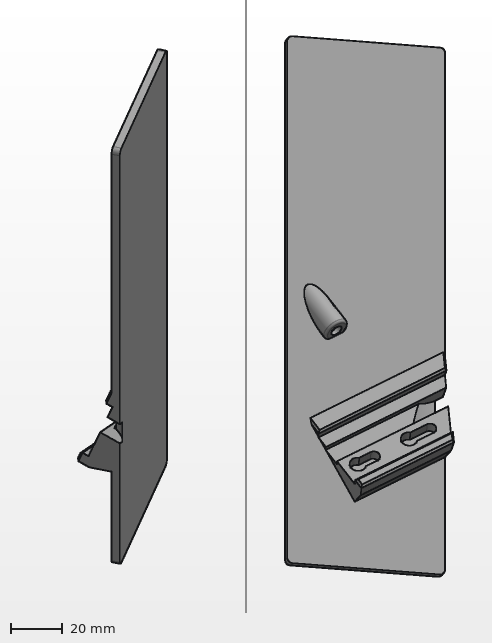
import cadquery as cq
import math

PLATE_THICKNESS = 3.4
PLATE_WIDTH = 63.0
PLATE_HEIGHT = 212.0
CORNER_RADIUS = 2.1

RAIL_ANGLE = 30.0
RAIL_CORNER_Y = 54.5
RAIL_CORNER_Z = 58.5
RAIL_LENGTH = 84.8
FACE_TILT = 22.0
RAIL_DEPTH = 37.5
LIP_HEIGHT = 5.5
EMBED_DEPTH = 1.7
TIP_CHAMFER = 0.8

RECESS_START = 7.5
RECESS_END = 33.0
RECESS_DEPTH = 3.4
GROOVE_START = 12.7
GROOVE_END = 20.5
GROOVE_DEPTH = 5.3

OUTLET_START_Y = 13.1
OUTLET_END_Y = 3.2
OUTLET_TOP_X = -2.1
OUTLET_BULGE = 0.6
CUT_REACH = 21.2

KEYHOLES = [(6.1, 7.5), (29.7, 9.8)]
KEYHOLE_LINE = 25.9
KEYHOLE_HEAD_DIAMETER = 6.4
KEYHOLE_SLOT_DIAMETER = 4.7
KEYHOLE_DEPTH = 4.9

PEG_END = (-3.0, 44.0, 94.0)
PEG_DIAMETER = 10.5
PEG_LENGTH = 34.0
PEG_ROUNDING = 1.0
PEG_HOLE_DIAMETER = 4.7
PEG_HOLE_DEPTH = 6.4

tilt = math.radians(FACE_TILT)
slope = math.radians(RAIL_ANGLE)
run = cq.Vector(0, -math.cos(slope), math.sin(slope))
across = cq.Vector(0, -math.sin(slope), -math.cos(slope))
down_face = across * math.cos(tilt) + cq.Vector(-math.sin(tilt), 0, 0)
corner = cq.Vector(0, RAIL_CORNER_Y, RAIL_CORNER_Z)

section = cq.Plane(origin=corner, xDir=down_face, normal=run * -1)
face_normal = section.yDir


def section_at_height(along_plate, height):
    """Convert a point measured along and above the plate to section coordinates."""
    return (
        along_plate * math.cos(tilt) + height * math.sin(tilt),
        height * math.cos(tilt) - along_plate * math.sin(tilt),
    )


def channel(start, end, depth):
    """Full-length channel sunk square to the tilted face."""
    return (
        cq.Workplane(section)
        .polyline([(start, CUT_REACH), (end, CUT_REACH), (end, -depth), (start, -depth)])
        .close()
        .extrude(-RAIL_LENGTH)
    )


def make_plate():
    return (
        cq.Workplane("XY")
        .box(PLATE_THICKNESS, PLATE_WIDTH, PLATE_HEIGHT, centered=False)
        .edges("|X")
        .fillet(CORNER_RADIUS)
    )


def make_rail():
    foot = RAIL_DEPTH * math.cos(tilt) + LIP_HEIGHT * math.sin(tilt)
    body = (
        cq.Workplane(section)
        .polyline([
            (-EMBED_DEPTH / math.sin(tilt), 0),
            (RAIL_DEPTH, 0),
            (RAIL_DEPTH, -LIP_HEIGHT),
            section_at_height(foot, -EMBED_DEPTH),
        ])
        .close()
        .extrude(-RAIL_LENGTH)
    )
    beyond_edge = (
        cq.Workplane("XY")
        .box(4 * RAIL_LENGTH, RAIL_LENGTH, 4 * PLATE_HEIGHT)
        .translate((0, -RAIL_LENGTH / 2, 0))
    )
    body = body.cut(beyond_edge)
    body = body.cut(channel(RECESS_START, RECESS_END, RECESS_DEPTH))
    for distance in (RECESS_START / 2, (RECESS_END + RAIL_DEPTH) / 2):
        tip_face = cq.selectors.NearestToPointSelector(tip_face_middle(distance).toTuple())
        body = body.faces(tip_face).edges().chamfer(TIP_CHAMFER)
    return body


def tip_face_middle(distance):
    """Point on the tilted face, midway between the rail end and the Y = 0 plane."""
    end_point = corner + down_face * distance
    return end_point + run * (end_point.y / math.cos(slope) / 2)


def make_outlet():
    back = PLATE_THICKNESS
    middle = (
        (OUTLET_TOP_X + back) / 2 + OUTLET_BULGE,
        (OUTLET_START_Y + OUTLET_END_Y) / 2 + OUTLET_BULGE,
    )
    run_out = (
        cq.Workplane("XY")
        .moveTo(-CUT_REACH, OUTLET_START_Y)
        .lineTo(OUTLET_TOP_X, OUTLET_START_Y)
        .threePointArc(middle, (back, OUTLET_END_Y))
        .lineTo(back, -CUT_REACH)
        .lineTo(-CUT_REACH, -CUT_REACH)
        .close()
        .extrude(PLATE_HEIGHT)
    )
    return run_out.intersect(channel(GROOVE_START, GROOVE_END, CUT_REACH))


def make_keyhole(distance, length):
    center = corner + run * distance + down_face * KEYHOLE_LINE - face_normal * RECESS_DEPTH
    plane = cq.Plane(origin=center, xDir=run, normal=face_normal)
    head = cq.Workplane(plane).circle(KEYHOLE_HEAD_DIAMETER / 2).extrude(-KEYHOLE_DEPTH)
    slot = (
        cq.Workplane(plane)
        .center(length / 2, 0)
        .slot2D(length + KEYHOLE_SLOT_DIAMETER, KEYHOLE_SLOT_DIAMETER)
        .extrude(-KEYHOLE_DEPTH)
    )
    return head.union(slot)


def make_peg():
    plane = cq.Plane(origin=PEG_END, xDir=run, normal=down_face)
    peg = (
        cq.Workplane(plane)
        .circle(PEG_DIAMETER / 2)
        .extrude(-PEG_LENGTH)
        .edges(cq.selectors.NearestToPointSelector(PEG_END))
        .fillet(PEG_ROUNDING)
    )
    hole = cq.Workplane(plane).circle(PEG_HOLE_DIAMETER / 2).extrude(-PEG_HOLE_DEPTH)
    front_space = (
        cq.Workplane("XY")
        .box(PEG_LENGTH, 2 * PLATE_WIDTH, PLATE_HEIGHT)
        .translate((-PEG_LENGTH / 2, PLATE_WIDTH / 2, PLATE_HEIGHT / 2))
    )
    return peg.cut(hole).intersect(front_space)


result = make_plate().union(make_rail()).union(make_peg())
result = result.cut(channel(RECESS_START, RECESS_END, RECESS_DEPTH))
result = result.cut(channel(GROOVE_START, GROOVE_END, GROOVE_DEPTH))
result = result.cut(make_outlet())
for distance, length in KEYHOLES:
    result = result.cut(make_keyhole(distance, length))